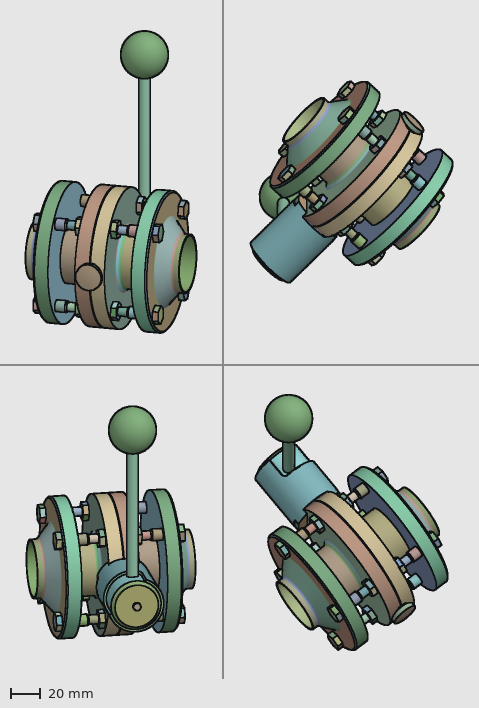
import cadquery as cq
import math


overall_length = 108.0
half_length = overall_length / 2
half_gap = 0.6
bore_radius = 19.0
pipe_radius = 20.0
neck_radius = 20.5
flange_radius = 48.0
middle_flange_face = 10.4
end_flange_inner_face = 29.3
end_flange_outer_face = 39.9
end_flange_chamfer = 1.1
cone_angle = math.radians(50)
cone_tip_fillet = 2.35
cone_base_fillet = 1.3
end_cone_base_radius = 31.0
middle_cone_base_radius = 23.3

bolt_count = 4
bolt_circle_radius = 40.5
bolt_step = 360 / bolt_count
first_bolt_angle = 45.0
head_corner_diameter = 12.8
head_height = 4.1
head_twist = 26.0
collar_radius = 4.0
collar_end = 21.2
collar_chamfer_length = 1.1
collar_chamfer_depth = 0.6
shank_radius = 3.1

disc_centre_half_thickness = 2.5
disc_edge_half_thickness = 4.0
stem_radius = 5.0
cap_radius = 9.0
cap_seat = 46.5
cap_rim = 50.8
cap_tip = 51.95
core_radius = 17.15
core_start = 60.0
core_end = 89.5
core_chamfer = 2.3
pin_radius = 2.6
pin_end = 91.32
rod_radius = 4.0
rod_position = 75.0
ball_radius = 16.1
ball_top = 136.13

sleeve_radius = 19.0
sleeve_start = 45.8
sleeve_end = core_end - core_chamfer
fork_half_width = 17.7
fork_start = 41.9
slot_start = 71.0
slot_first_angle = -17.0
slot_last_angle = 112.0
slot_corner_radius = 3.0


def cylinder_x(radius, start, end):
    return cq.Workplane("YZ").workplane(offset=start).circle(radius).extrude(end - start)


def cylinder_y(radius, start, end):
    return cq.Workplane("XZ").workplane(offset=-start).circle(radius).extrude(start - end)


def add_flare(outline, face, tip_radius, base_radius):
    """Continue an outline from a flange face down a blended cone to a cylinder of tip_radius."""
    cone_length = (base_radius - tip_radius) / math.tan(cone_angle)
    base_tangent = cone_base_fillet * math.tan((math.pi / 2 - cone_angle) / 2)
    tip_tangent = cone_tip_fillet * math.tan(cone_angle / 2)
    tip = face + cone_length
    along = math.cos(cone_angle)
    across = math.sin(cone_angle)
    return (
        outline.lineTo(face, base_radius + base_tangent)
        .tangentArcPoint((face + base_tangent * along, base_radius - base_tangent * across), relative=False)
        .lineTo(tip - tip_tangent * along, tip_radius + tip_tangent * across)
        .tangentArcPoint((tip + tip_tangent, tip_radius), relative=False)
    )


def housing_body():
    """Pipe end, cones and flanges of the +X half, turned about the pipe axis."""
    outline = (
        cq.Workplane("XY")
        .moveTo(half_gap / 2, bore_radius)
        .lineTo(half_gap / 2, flange_radius)
        .lineTo(middle_flange_face, flange_radius)
    )
    outline = add_flare(outline, middle_flange_face, neck_radius, middle_cone_base_radius)
    outline = (
        outline.lineTo(end_flange_inner_face, neck_radius)
        .lineTo(end_flange_inner_face, flange_radius)
        .lineTo(end_flange_outer_face - end_flange_chamfer, flange_radius)
        .lineTo(end_flange_outer_face, flange_radius - end_flange_chamfer)
    )
    outline = add_flare(outline, end_flange_outer_face, pipe_radius, end_cone_base_radius)
    outline = outline.lineTo(half_length, pipe_radius).lineTo(half_length, bore_radius).close()
    return outline.revolve(360, (0, 0, 0), (1, 0, 0))


def bolt():
    """Both hexagon heads, the collar and the shank of one bolt, along the X axis."""
    collar = (
        cylinder_x(collar_radius, collar_end, end_flange_inner_face)
        .faces("<X")
        .chamfer(collar_chamfer_length, collar_chamfer_depth)
    )
    parts = collar.union(cylinder_x(shank_radius, middle_flange_face, collar_end))
    for face in (middle_flange_face, end_flange_outer_face):
        head = cq.Workplane("YZ").workplane(offset=face).polygon(6, head_corner_diameter).extrude(head_height)
        parts = parts.union(head.rotate((0, 0, 0), (1, 0, 0), head_twist - first_bolt_angle))
    return parts


def housing_half():
    half = housing_body()
    for index in range(bolt_count):
        angle = first_bolt_angle + index * bolt_step
        half = half.union(bolt().translate((0, bolt_circle_radius, 0)).rotate((0, 0, 0), (1, 0, 0), angle))
    return half


def cut_stem_holes(body):
    """Bore a housing half for the stem and sink the seat of the cap into its flange."""
    body = body.cut(cylinder_y(stem_radius, -flange_radius, flange_radius))
    return body.cut(cylinder_y(cap_radius, -cap_tip, -cap_seat))


def sleeve_body():
    """Slotted sleeve with a fork that straddles the middle flanges and holds it against turning."""
    fork_length = sleeve_start - fork_start
    fork_bar = cq.Workplane("XY").box(2 * fork_half_width, fork_length, 2 * sleeve_radius)
    fork = cylinder_y(sleeve_radius, fork_start, sleeve_start).intersect(
        fork_bar.translate((0, fork_start + fork_length / 2, 0))
    )
    fork_gap = cq.Workplane("XY").box(2 * middle_flange_face, 2 * sleeve_start, 2 * sleeve_radius)
    body = cylinder_y(sleeve_radius, sleeve_start, sleeve_end).union(fork.cut(fork_gap))
    body = body.cut(cylinder_x(flange_radius, -middle_flange_face, middle_flange_face))
    body = body.cut(cylinder_y(core_radius, core_start, sleeve_end))
    body = body.cut(cylinder_y(stem_radius, sleeve_start, core_start))
    return body.cut(lever_slot())


def lever_slot():
    """Sector that frees the rod for a quarter turn from +Z to +X, with rounded inner corners."""
    reach = 2 * sleeve_radius
    middle_angle = (slot_first_angle + slot_last_angle) / 2

    def outer_point(degrees):
        angle = math.radians(degrees)
        return (reach * math.cos(angle), reach * math.sin(angle))

    sector = (
        cq.Workplane("XZ")
        .workplane(offset=-slot_start)
        .lineTo(*outer_point(slot_first_angle))
        .threePointArc(outer_point(middle_angle), outer_point(slot_last_angle))
        .close()
        .extrude(slot_start - sleeve_end)
    )
    return sector.faces("<Y").edges("%LINE").fillet(slot_corner_radius)


def disc():
    """Disc that closes the bore, with both faces hollowed about lines parallel to Z."""
    rim = disc_edge_half_thickness
    middle = disc_centre_half_thickness
    plate = (
        cq.Workplane("XY")
        .workplane(offset=-bore_radius)
        .moveTo(-rim, bore_radius)
        .threePointArc((-middle, 0), (-rim, -bore_radius))
        .lineTo(rim, -bore_radius)
        .threePointArc((middle, 0), (rim, bore_radius))
        .close()
        .extrude(2 * bore_radius)
    )
    return plate.intersect(cylinder_x(bore_radius, -rim, rim))


def cap():
    """Domed cap on the -Y end of the stem."""
    dome_height = cap_tip - cap_rim
    dome_radius = (cap_radius**2 + dome_height**2) / (2 * dome_height)
    dome = cq.Workplane("XY").sphere(dome_radius).translate((0, dome_radius - cap_tip, 0))
    return cylinder_y(cap_radius, -cap_tip, -cap_seat).intersect(dome)


def lever():
    """Core inside the sleeve, with the rod, the ball knob and the end pin."""
    body = cylinder_y(core_radius, core_start, core_end).faces(">Y").chamfer(core_chamfer)
    body = body.union(cylinder_y(pin_radius, core_end, pin_end))
    ball_centre = ball_top - ball_radius
    rod = cq.Workplane("XY").circle(rod_radius).extrude(ball_centre)
    ball = cq.Workplane("XY").sphere(ball_radius).translate((0, 0, ball_centre))
    return body.union(rod.union(ball).translate((0, rod_position, 0)))


def rotor_body():
    stem = cylinder_y(stem_radius, -cap_seat, core_start)
    stem = stem.cut(cylinder_x(bore_radius, -stem_radius, stem_radius))
    return disc().union(stem).union(cap()).union(lever())


right_half = cut_stem_holes(housing_half())
left_half = right_half.mirror("YZ")
sleeve = sleeve_body()
rotor = rotor_body()

result = cq.Compound.makeCompound([left_half.val(), right_half.val(), sleeve.val(), rotor.val()])